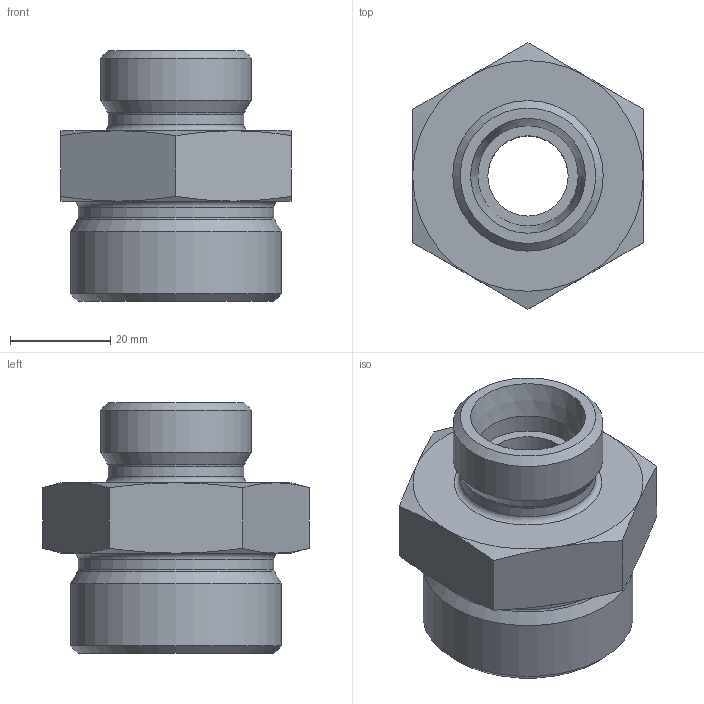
import cadquery as cq
import math

total_height = 50.0
hex_bottom = 20.0
hex_top = 34.0

hex_sides = 6
hex_half_angle = 180.0 / hex_sides
across_flats = 46.0
across_corners = across_flats / math.cos(math.radians(hex_half_angle))
hex_chamfer_angle = 15.0

lower_thread_diameter = 42.0
upper_thread_diameter = 30.0
end_chamfer = 1.5
undercut_depth = 1.5
undercut_width = 3.5
undercut_slope = 30.0
undercut_shoulder_radius = 1.2
undercut_runout_radius = 1.0

through_diameter = 16.0
tube_diameter = 20.0
tube_seat_depth = 10.5
cone_mouth_diameter = 22.9
cone_half_angle = 12.0


def make_hexagon():
    """Hexagon with flats facing +X and -X, corners chamfered by shallow cones at both ends."""
    corner_radius = across_corners / 2
    flat_radius = across_flats / 2
    corner_drop = (corner_radius - flat_radius) * math.tan(math.radians(hex_chamfer_angle))
    prism = (
        cq.Workplane("XY", origin=(0, 0, hex_bottom))
        .polygon(hex_sides, across_corners)
        .extrude(hex_top - hex_bottom)
        .rotate((0, 0, 0), (0, 0, 1), hex_half_angle)
    )
    chamfer_envelope = (
        cq.Workplane("XZ")
        .moveTo(0, hex_bottom)
        .lineTo(flat_radius, hex_bottom)
        .lineTo(corner_radius, hex_bottom + corner_drop)
        .lineTo(corner_radius, hex_top - corner_drop)
        .lineTo(flat_radius, hex_top)
        .lineTo(0, hex_top)
        .close()
        .revolve(360, (0, 0, 0), (0, 1, 0))
    )
    return prism.intersect(chamfer_envelope)


def make_threaded_end(diameter, length):
    """Threaded end standing on z = 0, with its undercut at the base and its chamfer at the tip."""
    radius = diameter / 2
    neck_radius = radius - undercut_depth
    shoulder_radius = undercut_shoulder_radius
    slope = math.radians(undercut_slope)
    runout_end = undercut_width + undercut_depth / math.tan(slope)

    tangent_length = undercut_runout_radius * math.tan(slope / 2)
    arc_start = undercut_width - tangent_length
    arc_center_x = neck_radius + undercut_runout_radius
    arc_middle = (
        arc_center_x - undercut_runout_radius * math.cos(slope / 2),
        arc_start + undercut_runout_radius * math.sin(slope / 2),
    )
    arc_end = (
        arc_center_x - undercut_runout_radius * math.cos(slope),
        arc_start + undercut_runout_radius * math.sin(slope),
    )

    shoulder_middle_offset = shoulder_radius * (1 - math.sqrt(0.5))
    shoulder_middle = (neck_radius + shoulder_middle_offset, shoulder_middle_offset)

    return (
        cq.Workplane("XZ")
        .moveTo(0, 0)
        .lineTo(neck_radius + shoulder_radius, 0)
        .threePointArc(shoulder_middle, (neck_radius, shoulder_radius))
        .lineTo(neck_radius, arc_start)
        .threePointArc(arc_middle, arc_end)
        .lineTo(radius, runout_end)
        .lineTo(radius, length - end_chamfer)
        .lineTo(radius - end_chamfer, length)
        .lineTo(0, length)
        .close()
        .revolve(360, (0, 0, 0), (0, 1, 0))
    )


def make_bore():
    """Through hole, tube seat and sealing cone, opening at the top."""
    through_radius = through_diameter / 2
    tube_radius = tube_diameter / 2
    mouth_radius = cone_mouth_diameter / 2
    seat_height = total_height - tube_seat_depth
    cone_depth = (mouth_radius - tube_radius) / math.tan(math.radians(cone_half_angle))
    return (
        cq.Workplane("XZ")
        .moveTo(0, 0)
        .lineTo(through_radius, 0)
        .lineTo(through_radius, seat_height)
        .lineTo(tube_radius, seat_height)
        .lineTo(tube_radius, total_height - cone_depth)
        .lineTo(mouth_radius, total_height)
        .lineTo(0, total_height)
        .close()
        .revolve(360, (0, 0, 0), (0, 1, 0))
    )


upper_end = make_threaded_end(upper_thread_diameter, total_height - hex_top).translate((0, 0, hex_top))
lower_end = (
    make_threaded_end(lower_thread_diameter, hex_bottom)
    .rotate((0, 0, 0), (1, 0, 0), 180)
    .translate((0, 0, hex_bottom))
)

result = make_hexagon().union(upper_end).union(lower_end).cut(make_bore())